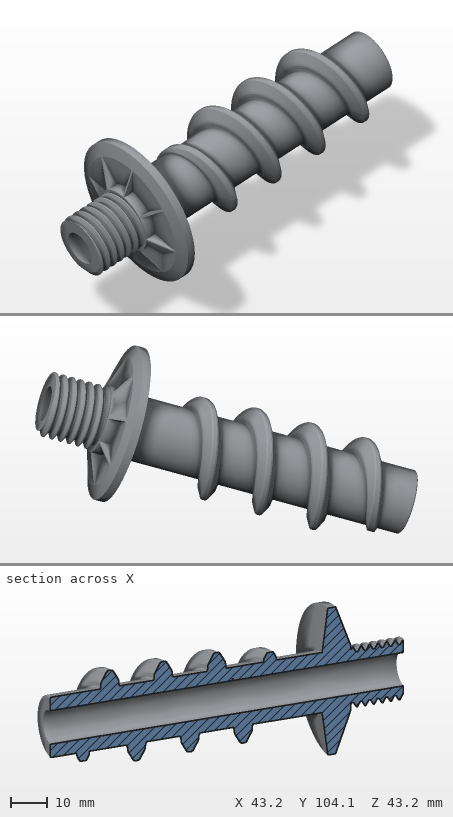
import cadquery as cq
import math


total_length = 104.1
shaft_diameter = 17.8
bore_diameter = 9.7
end_chamfer = 0.3

flange_diameter = 43.2
rim_front = 20.0
rim_back = 22.4
flange_back = 24.1
front_slope = 0.37
pocket_floor = 18.6

hub_diameter = 19.0
rib_count = 8
rib_width = 0.5

fine_crest_diameter = 17.8
fine_root_diameter = 14.9
fine_pitch = 2.5
fine_crest_width = 0.3
fine_turns = 8

flank_tangent = math.tan(math.radians(30))

coarse_crest_diameter = 27.9
coarse_pitch = 15.7
coarse_crest_width = 0.9
coarse_bevel_width = 0.47
foot_radius = 11.0
foot_bevel_height = 0.5
foot_bevel_width = 0.2
foot_draft = 0.05
flare_radius = 9.4
flare_width = 0.4
coarse_turns = 4
lead_turns = 0.5
lead_step = 0.05
lead_width = 2.2
coarse_start = 35.4

overlap = 0.2

shaft_radius = shaft_diameter / 2
hub_radius = hub_diameter / 2
flange_radius = flange_diameter / 2
pocket_radius = flange_radius - (rim_front - pocket_floor) / front_slope
hub_front = pocket_floor - front_slope * (pocket_radius - hub_radius)


def turned(outline):
    """Revolve an outline of (radius, Y) points about the Y axis."""
    return cq.Workplane("XY").polyline(outline).close().revolve(360, (0, 0, 0), (0, 1, 0))


def helix_point(radius, axial, angle):
    """Point at an angle about Z, measured from the +X side."""
    return cq.Vector(radius * math.cos(angle), radius * math.sin(angle), axial)


def helical_ridge(first, last, turns):
    """Ridge about Z from the +X side, whose (radius, axial) corners move steadily from first to last."""
    edges = []
    for (first_radius, first_axial), (last_radius, last_axial) in zip(first, last):
        rise = last_radius - first_radius
        height = last_axial - first_axial
        slant = math.hypot(height, rise)
        cone_angle = math.degrees(math.atan2(rise, height)) if rise else 360
        start = (0, 0, first_axial)
        edges.append(cq.Wire.makeHelix(slant / turns, slant, first_radius, start, angle=cone_angle))
    faces = [cq.Face.makeRuledSurface(edge, edges[i - 1]) for i, edge in enumerate(edges)]
    for corners, angle in ((first, 0), (last, 2 * math.pi * turns)):
        points = [helix_point(radius, axial, angle) for radius, axial in corners]
        faces.append(cq.Face.makeFromWires(cq.Wire.makePolygon(points, close=True)))
    return cq.Workplane(cq.Solid.makeSolid(cq.Shell.makeShell(faces)).fix())


def advanced(profile, distance):
    """Move a profile along the axis."""
    return [(radius, axial + distance) for radius, axial in profile]


def mirrored(side):
    """Add the other half of a profile that is symmetric about its middle."""
    return [(radius, -axial) for radius, axial in reversed(side)] + side


def placed_on_shaft(ridge, start, turn_angle):
    """Turn a ridge about Z, lay its axis along Y and move it to its start."""
    turned_ridge = ridge.rotate((0, 0, 0), (0, 0, 1), turn_angle)
    return turned_ridge.rotate((0, 0, 0), (1, 0, 0), -90).translate((0, start, 0))


def fine_thread():
    """Thread that runs from the tip into the hub, with its crest on the +Z side at the tip face."""
    crest = fine_crest_diameter / 2
    foot = fine_root_diameter / 2 - overlap
    half_crest = fine_crest_width / 2
    profile = mirrored([(crest, half_crest), (foot, half_crest + (crest - foot) * flank_tangent)])
    ridge = helical_ridge(profile, advanced(profile, fine_pitch * fine_turns), fine_turns)
    thread = placed_on_shaft(ridge, -fine_pitch, -90)
    tip_trim = cq.Workplane("XZ").circle(flange_radius).extrude(2 * fine_pitch)
    return thread.cut(tip_trim)


def coarse_profile():
    """Bevelled crest, straight flanks and a steep foot that flares onto the shaft."""
    crest = coarse_crest_diameter / 2
    half_crest = coarse_crest_width / 2
    half_flank = half_crest + coarse_bevel_width
    flank_top = crest - coarse_bevel_width * flank_tangent
    half_foot = half_flank + (flank_top - foot_radius) * flank_tangent
    shoulder_radius = foot_radius - foot_bevel_height
    half_shoulder = half_foot + foot_bevel_width
    return mirrored(
        [
            (crest, half_crest),
            (flank_top, half_flank),
            (foot_radius, half_foot),
            (shoulder_radius, half_shoulder),
            (flare_radius, half_shoulder + foot_draft),
            (shaft_radius - overlap, half_shoulder + flare_width),
        ]
    )


def coarse_thread():
    """Four turns from the -X side, growing out of the shaft and sinking back over half a turn."""
    profile = coarse_profile()
    crest = coarse_crest_diameter / 2
    foot = shaft_radius - overlap
    flattening = (overlap + lead_step) / (crest - foot)
    flat_profile = [
        (foot + (radius - foot) * flattening, math.copysign(lead_width / 2, axial))
        for radius, axial in profile
    ]
    lead_height = coarse_pitch * lead_turns
    full_turns = coarse_turns - 2 * lead_turns
    lead = helical_ridge(flat_profile, advanced(profile, lead_height), lead_turns)
    full = helical_ridge(profile, advanced(profile, coarse_pitch * full_turns), full_turns)

    lead_in = placed_on_shaft(lead, coarse_start, 180)
    full = placed_on_shaft(full, coarse_start + lead_height, 180 + 360 * lead_turns)
    middle = coarse_start + coarse_pitch * coarse_turns / 2
    lead_out = lead_in.rotate((0, middle, 0), (1, middle, 0), 180)
    return [lead_in, full, lead_out]


def body():
    """Fine thread core, hub, flange and shaft in one outline."""
    fine_root_radius = fine_root_diameter / 2
    return turned(
        [
            (0, 0),
            (fine_root_radius, 0),
            (fine_root_radius, hub_front),
            (hub_radius, hub_front),
            (hub_radius, pocket_floor),
            (pocket_radius, pocket_floor),
            (flange_radius, rim_front),
            (flange_radius, rim_back),
            (shaft_radius, flange_back),
            (shaft_radius, total_length - end_chamfer),
            (shaft_radius - end_chamfer, total_length),
            (0, total_length),
        ]
    )


def ribs():
    """Thin radial ribs whose front edges continue the front cone of the flange."""
    inner_radius = fine_root_diameter / 2
    cone = turned(
        [
            (inner_radius, pocket_floor + overlap),
            (pocket_radius, pocket_floor + overlap),
            (pocket_radius, pocket_floor),
            (hub_radius, hub_front),
            (inner_radius, hub_front),
        ]
    )
    bars = cq.Workplane("XY")
    for i in range(rib_count // 2):
        bar = cq.Workplane("XY").box(flange_diameter, flange_diameter, rib_width)
        bars = bars.union(bar.rotate((0, 0, 0), (0, 1, 0), 360 / rib_count * i))
    return cone.intersect(bars)


def corner_gusset():
    """Two sloped planes filling the pocket between the +X rib and the next rib towards -Z."""
    sector = 2 * math.pi / rib_count
    foot = pocket_radius * math.cos(sector)
    slope = front_slope / math.cos(sector)
    top = foot - (pocket_floor - hub_front) / slope
    base = pocket_floor + overlap
    wedge = (
        cq.Workplane("XY")
        .polyline([(0, base), (foot, base), (foot, pocket_floor), (top, hub_front), (0, hub_front)])
        .close()
        .extrude(flange_radius, both=True)
    )
    wedges = wedge.union(wedge.rotate((0, 0, 0), (0, 1, 0), math.degrees(sector)))
    pocket = (
        cq.Workplane("XZ")
        .polyline([(0, 0), (pocket_radius, 0), (foot, -pocket_radius * math.sin(sector))])
        .close()
        .extrude(-rim_back)
    )
    return wedges.intersect(pocket)


bore = cq.Workplane("XZ").circle(bore_diameter / 2).extrude(-total_length)

result = body().union(ribs()).union(corner_gusset()).union(fine_thread())
for piece in coarse_thread():
    result = result.union(piece)
result = result.cut(bore)